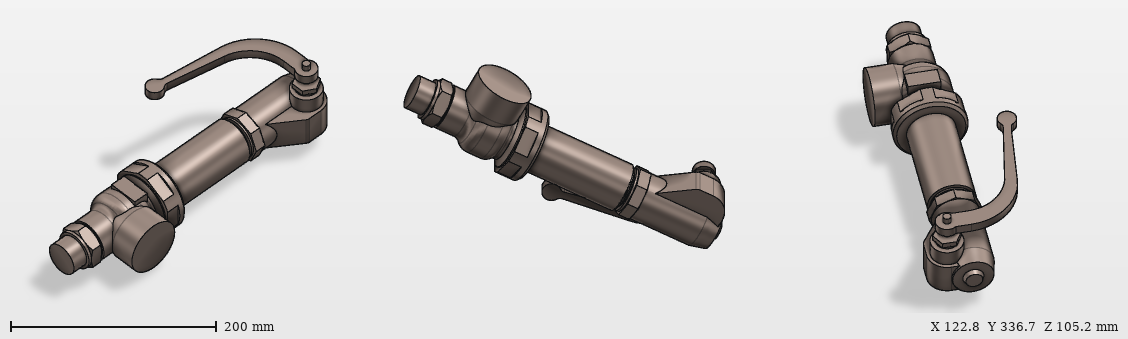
import cadquery as cq
import math


SPIGOT_R = 17.2
SPIGOT_END = 17.2
HEX_START = 20.5
HEX_END = 34.5
HEX_FLATS = 41.0

BODY_START = 35.5
NECK_R = 22.5
BULGE_R = 31.3
BULGE_START = 75.0
BULGE_END = 89.5
LOW_ROUND = 10.8
LOW_HOLLOW = 8.0
TOP_ROUND = 9.0
TOP_HOLLOW = 2.5
THROAT_R = 26.3
THROAT_END = 104.0
FLARE_R = 32.3
FLARE_END = 108.0

NUT_START = 109.5
NUT_FLAT_END = 123.5
NUT_END = 132.5
NUT_R = 37.5
NUT_CHAMFER = 3.0
NUT_FLAT_DISTANCE = 35.0
NUT_FLAT_COUNT = 6

TUBE_R = 24.5
TUBE_END = 230.5
STEP_R = 21.5
STEP_END = 233.0
GROOVE_R = 18.5
GROOVE_END = 235.0
COLLAR_R = 22.5

LOCK_START = 237.5
LOCK_END = 249.0
LOCK_CORNER_R = 26.5

CAP_R = 24.2
CAP_TAPER_START = 315.5
CAP_END = 332.0
CAP_END_R = 20.5
TIP_BASE_R = 10.5
TIP_R = 8.5
TOP = 336.7

OUTLET_Y = 75.8
OUTLET_R = 29.0
OUTLET_ROOT = 22.5
OUTLET_FACE = 49.8
OUTLET_TAPER = 15.0

PAD_WIDTH = 32.5
PAD_START = 83.0
PAD_END = 100.0
PAD_TOP = 32.5

SHAFT_X = 21.5
SHAFT_Y = 309.8
EAR_R = 20.2
EAR_TOP = 16.5
EAR_CORNER_Y = 292.5
EAR_FOOT = (18.0, 258.2)
EAR_BLEND = 6.7
BOSS_R = 16.5
BOSS_TOP = 33.5
GLAND_R = 11.0
GLAND_TOP = 37.0
GLAND_NUT_TOP = 42.8
GLAND_NUT_FLATS = 24.5
SHAFT_R = 4.0
SHAFT_TOP = 67.7

LEVER_BOTTOM = 51.2
LEVER_TOP = 61.0
LEVER_EYE_R = 11.5
LEVER_HALF_WIDTH = 9.0
BEND_X = -1.0
BEND_OUTER_R = 56.2
BEND_INNER_R = 45.0
ARM_OUTER_ANGLE = 7.0
ARM_INNER_ANGLE = 10.7
KNOB_X = -63.5
KNOB_Y = 187.2
KNOB_R = 9.5
KNOB_BLEND = 6.7


def prism_along_y(corner_diameter, sides, start, end, turn):
    """Regular prism on the main axis, turned about it by the given angle."""
    prism = cq.Workplane("XZ", origin=(0, start, 0)).polygon(sides, corner_diameter).extrude(start - end)
    return prism.rotate((0, 0, 0), (0, 1, 0), turn)


def upright_cylinder(radius, bottom, top):
    """Cylinder on the lever shaft axis."""
    return cq.Workplane("XY", origin=(SHAFT_X, SHAFT_Y, bottom)).circle(radius).extrude(top - bottom)


def bulge_sweep(start_y, round_length, hollow_length, end_r, direction):
    """S-curve from the bulge down to a smaller cylinder: a convex arc, then a concave arc.

    The arcs are tangent to each other and to both cylinders; lengths run along Y.
    Returns the middle of the convex arc, the joint, the middle of the concave arc and the end.
    """
    turn = 2 * math.atan((BULGE_R - end_r) / (round_length + hollow_length))
    mid_along = math.sin(turn / 2) / math.sin(turn)
    mid_across = (1 - math.cos(turn / 2)) / math.sin(turn)
    end_y = start_y + direction * (round_length + hollow_length)
    round_mid = (BULGE_R - round_length * mid_across, start_y + direction * round_length * mid_along)
    joint = (BULGE_R - round_length * math.tan(turn / 2), start_y + direction * round_length)
    hollow_mid = (end_r + hollow_length * mid_across, end_y - direction * hollow_length * mid_along)
    return round_mid, joint, hollow_mid, (end_r, end_y)


def make_turned_core():
    half_flat = HEX_FLATS / 2
    low_round, low_join, low_hollow, low_end = bulge_sweep(BULGE_START, LOW_ROUND, LOW_HOLLOW, NECK_R, -1)
    top_round, top_join, top_hollow, top_end = bulge_sweep(BULGE_END, TOP_ROUND, TOP_HOLLOW, THROAT_R, 1)

    profile = (
        cq.Workplane("XY")
        .lineTo(SPIGOT_R, 0)
        .lineTo(SPIGOT_R, SPIGOT_END)
        .lineTo(half_flat, SPIGOT_END)
        .lineTo(half_flat, BODY_START)
        .lineTo(NECK_R, BODY_START)
        .lineTo(*low_end)
        .threePointArc(low_hollow, low_join)
        .threePointArc(low_round, (BULGE_R, BULGE_START))
        .lineTo(BULGE_R, BULGE_END)
        .threePointArc(top_round, top_join)
        .threePointArc(top_hollow, top_end)
        .lineTo(THROAT_R, THROAT_END)
        .lineTo(FLARE_R, FLARE_END)
        .lineTo(FLARE_R, NUT_START)
        .lineTo(NUT_R, NUT_START)
        .lineTo(NUT_R, NUT_END - NUT_CHAMFER)
        .lineTo(NUT_R - NUT_CHAMFER, NUT_END)
        .lineTo(TUBE_R, NUT_END)
        .lineTo(TUBE_R, TUBE_END)
        .lineTo(STEP_R, TUBE_END)
        .lineTo(STEP_R, STEP_END)
        .lineTo(GROOVE_R, STEP_END)
        .lineTo(GROOVE_R, GROOVE_END)
        .lineTo(COLLAR_R, GROOVE_END)
        .lineTo(COLLAR_R, LOCK_END)
        .lineTo(CAP_R, LOCK_END)
        .lineTo(CAP_R, CAP_TAPER_START)
        .lineTo(CAP_END_R, CAP_END)
        .lineTo(TIP_BASE_R, CAP_END)
        .lineTo(TIP_R, TOP)
        .lineTo(0, TOP)
        .close()
    )
    return profile.revolve(360, (0, 0, 0), (0, 1, 0))


def cut_nut_flats(core):
    """Six short wrench flats, the first one facing -X."""
    depth = NUT_R - NUT_FLAT_DISTANCE
    for index in range(NUT_FLAT_COUNT):
        flat = cq.Workplane("XY").box(
            depth, NUT_FLAT_END - NUT_START, 2 * NUT_R, centered=(False, False, True)
        )
        flat = flat.translate((NUT_FLAT_DISTANCE, NUT_START, 0))
        core = core.cut(flat.rotate((0, 0, 0), (0, 1, 0), 180 + index * 360 / NUT_FLAT_COUNT))
    return core


def make_inlet_hexagon():
    """Hexagon with corners at +Z and -Z, its corners chamfered by 30 degrees at both ends."""
    corner_r = HEX_FLATS / 2 / math.cos(math.pi / 6)
    hexagon = prism_along_y(2 * corner_r, 6, HEX_START, HEX_END, 90)
    chamfer = corner_r - HEX_FLATS / 2
    chamfer_length = chamfer * math.tan(math.pi / 6)
    rounding = (
        cq.Workplane("XZ", origin=(0, HEX_START, 0))
        .circle(corner_r)
        .extrude(HEX_START - HEX_END)
        .edges()
        .chamfer(chamfer_length, chamfer)
    )
    return hexagon.intersect(rounding)


def make_outlet():
    inner_r = OUTLET_R - OUTLET_ROOT * math.tan(math.radians(OUTLET_TAPER))
    return (
        cq.Workplane("XY", origin=(0, OUTLET_Y, 0))
        .lineTo(0, inner_r)
        .lineTo(OUTLET_ROOT, OUTLET_R)
        .lineTo(OUTLET_FACE, OUTLET_R)
        .lineTo(OUTLET_FACE, 0)
        .close()
        .revolve(360, (0, 0, 0), (1, 0, 0))
    )


def make_name_pad():
    pad = cq.Workplane("XY").box(PAD_WIDTH, PAD_END - PAD_START, PAD_TOP, centered=(True, False, False))
    return pad.translate((0, PAD_START, 0))


def make_ear():
    """Plate centred on Z = 0 that reaches from the cap axis out around the shaft."""
    diagonal = EAR_R * math.sqrt(0.5)
    foot_x, foot_y = EAR_FOOT
    return (
        cq.Workplane("XY", origin=(0, 0, -EAR_TOP))
        .moveTo(0, SHAFT_Y + EAR_R)
        .lineTo(SHAFT_X, SHAFT_Y + EAR_R)
        .threePointArc((SHAFT_X + diagonal, SHAFT_Y + diagonal), (SHAFT_X + EAR_R, SHAFT_Y))
        .lineTo(SHAFT_X + EAR_R, EAR_CORNER_Y)
        .lineTo(foot_x, foot_y)
        .lineTo(0, foot_y)
        .close()
        .extrude(2 * EAR_TOP)
        .edges(cq.selectors.NearestToPointSelector((SHAFT_X + EAR_R, EAR_CORNER_Y, 0)))
        .fillet(EAR_BLEND)
    )


def make_shaft_stack():
    gland_nut = (
        cq.Workplane("XY", origin=(SHAFT_X, SHAFT_Y, GLAND_TOP))
        .polygon(6, GLAND_NUT_FLATS / math.cos(math.pi / 6))
        .extrude(GLAND_NUT_TOP - GLAND_TOP)
    )
    return (
        upright_cylinder(BOSS_R, EAR_TOP / 2, BOSS_TOP)
        .union(upright_cylinder(GLAND_R, BOSS_TOP, GLAND_TOP))
        .union(gland_nut)
        .union(upright_cylinder(SHAFT_R, GLAND_NUT_TOP, SHAFT_TOP))
    )


def bend_point(radius, edge_y, angle):
    """Point on a bend that is tangent to the straight edge, at an angle up from the -X direction."""
    turn = math.radians(angle)
    return (BEND_X - radius * math.cos(turn), edge_y - radius + radius * math.sin(turn))


def arm_end(start, angle):
    """End of an arm edge that leaves the bend tangentially and runs down to the knob centre."""
    start_x, start_y = start
    return (start_x - (start_y - KNOB_Y) * math.tan(math.radians(angle)), KNOB_Y)


def make_lever():
    height = LEVER_TOP - LEVER_BOTTOM
    outer_y = SHAFT_Y + LEVER_HALF_WIDTH
    inner_y = SHAFT_Y - LEVER_HALF_WIDTH
    outer_end = bend_point(BEND_OUTER_R, outer_y, ARM_OUTER_ANGLE)
    inner_end = bend_point(BEND_INNER_R, inner_y, ARM_INNER_ANGLE)

    arm = (
        cq.Workplane("XY", origin=(0, 0, LEVER_BOTTOM))
        .moveTo(SHAFT_X, outer_y)
        .lineTo(BEND_X, outer_y)
        .threePointArc(bend_point(BEND_OUTER_R, outer_y, 45), outer_end)
        .lineTo(*arm_end(outer_end, ARM_OUTER_ANGLE))
        .lineTo(*arm_end(inner_end, ARM_INNER_ANGLE))
        .lineTo(*inner_end)
        .threePointArc(bend_point(BEND_INNER_R, inner_y, 45), (BEND_X, inner_y))
        .lineTo(SHAFT_X, inner_y)
        .close()
        .extrude(height)
    )
    knob = cq.Workplane("XY", origin=(KNOB_X, KNOB_Y, LEVER_BOTTOM)).circle(KNOB_R).extrude(height)
    eye = upright_cylinder(LEVER_EYE_R, LEVER_BOTTOM, LEVER_TOP)

    lever = arm.union(knob)
    mid_z = (LEVER_BOTTOM + LEVER_TOP) / 2
    for side in (-1, 1):
        junction = (KNOB_X + side * KNOB_R / 2, KNOB_Y + KNOB_R, mid_z)
        corner = cq.selectors.NearestToPointSelector(junction)
        lever = lever.edges("|Z").edges(corner).fillet(KNOB_BLEND)
    return lever.union(eye)


lock_nut = prism_along_y(2 * LOCK_CORNER_R, 8, LOCK_START, LOCK_END, 0)

result = (
    cut_nut_flats(make_turned_core())
    .union(make_inlet_hexagon())
    .union(lock_nut)
    .union(make_outlet())
    .union(make_name_pad())
    .union(make_ear())
    .union(make_shaft_stack())
    .union(make_lever())
)